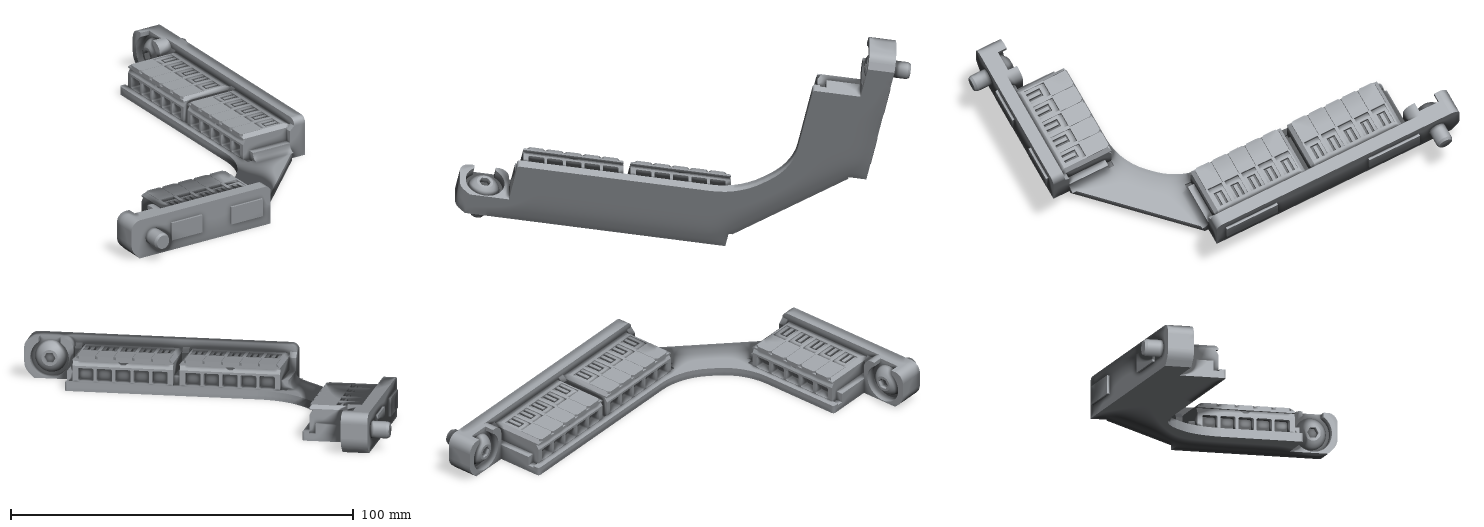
import cadquery as cq
import math


LONG_SIDE = 115.62
SHORT_SIDE = 83.36
HEIGHT = 12.2
LONG_BAYS = 2
SHORT_BAYS = 1
PLATE_THICK = 2.6
ARM_DEPTH = 22.0
INNER_RADIUS = 20.0
INNER_FLAT = 1.7
PLATE_CORNER_RADIUS = 0.8
DIAGONAL_SUM = 76.1

WALL_THICK = 3.8
WALL_END_RADIUS = 2.0
BOSS_LENGTH = 14.55
BOSS_DEPTH = 7.9
BOSS_TOP_RADIUS = 3.0
BOSS_CHAMFER = 2.9
BOSS_BLEND_RADIUS = 4.4

SCREW_X = 7.5
SCREW_Z = 6.1
SCREW_TIP_REACH = 5.37
SHANK_DIA = 5.0
TIP_LENGTH = 0.8
TIP_INSET = 0.4
HEAD_DIA = 9.5
HEAD_HEIGHT = 2.75
HEAD_FLAT_DIA = 4.8
HEX_FLATS = 3.0
HEX_DEPTH = 1.8
CLEARANCE_DIA = 5.25
SEAT_DIA = 11.5
SEAT_FLOOR = 5.0
SEAT_SLOT_WIDTH = 6.4

CELLS = 5
CELL_PITCH = 5.5
BLOCK_LENGTH = 29.75
BLOCK_TOP = 10.2
BLOCK_FRONT = 20.25
END_CHAMFER_X = 1.1
END_CHAMFER_Z = 1.05
BACK_SLOPE_DEPTH = 1.45
BACK_SLOPE_DROP = 0.5
BROW_Z = 8.75
BROW_INSET = 0.9
SLOPE_Z = 7.25
ENTRY_WIDTH = 4.65
ENTRY_BOTTOM = 2.75
ENTRY_TOP = 6.6
ENTRY_DEPTH = 3.0
ENTRY_RADIUS = 0.5
SLIDER_BACK = 6.3
SLIDER_FRONT = 11.4
SLIDER_WIDTH = 4.5
SLIDER_DROP = 0.3
POCKET_WIDTH = 2.6
POCKET_FRONT = 10.8
POCKET_DEPTH = 1.2
FINGER_WIDTH = 1.05
FINGER_GAP = 0.45
TRENCH_FRONT = 12.7
TRENCH_DEPTH = 0.9
BUTTON_GAP = 0.1
BUTTON_GAP_DEPTH = 0.8
BUTTON_CORNER = 0.7
MARK_WIDTH = 3.7
MARK_TIP_WIDTH = 1.2
MARK_HEIGHT = 0.9
MARK_DEPTH = 0.4

RAIL_WIDTH = 2.05
RAIL_TOP = 5.0
RAIL_FRONT = 18.1
RAIL_FILLET = 2.0
RAIL_POCKET_FRONT = 20.0
RAIL_POCKET_FLOOR = 2.05
RIDGE_DEPTH = 1.45
RIDGE_TOP = 10.2
BAY_PITCH = BLOCK_LENGTH + RAIL_WIDTH

PAD_THICK = 0.75
PAD_BOTTOM = 3.4
PAD_TOP = 8.9
LONG_ARM_PADS = [(13.5, 30.2), (60.4, 77.2)]
SHORT_ARM_PADS = [(13.6, 24.2), (34.3, 45.2)]

OVERCUT = 1.0


def span_box(x0, x1, y0, y1, z0, z1):
    size = (x1 - x0, y1 - y0, z1 - z0)
    return cq.Workplane("XY").box(*size, centered=False).translate((x0, y0, z0))


def side_profile(points, x0, length):
    """Outline given as (distance in front of the back face, z), run along X."""
    flat = [(-depth, z) for depth, z in points]
    return cq.Workplane("YZ").polyline(flat).close().extrude(length).translate((x0, 0, 0))


def to_short_arm(body):
    """Place a body built in the arm frame on the short arm."""
    return body.mirror(cq.Vector(1, -1, 0)).translate((LONG_SIDE, -SHORT_SIDE, 0))


def arm_end(bays):
    return BOSS_LENGTH + RAIL_WIDTH + bays * BAY_PITCH


def back_wall(bays):
    wall = span_box(BOSS_LENGTH / 2, arm_end(bays), -WALL_THICK, 0, 0, HEIGHT)
    return wall.edges("|Y and >X and >Z").fillet(WALL_END_RADIUS)


def screw_boss():
    blend_45 = BOSS_BLEND_RADIUS * math.sin(math.pi / 4)
    blend_in = BOSS_BLEND_RADIUS - blend_45
    blend_low = BOSS_CHAMFER - blend_in
    blend_high = blend_low + blend_45
    mid_in = BOSS_BLEND_RADIUS * (1 - math.cos(math.pi / 8))
    mid_z = blend_high - BOSS_BLEND_RADIUS * math.sin(math.pi / 8)
    boss = (
        cq.Workplane("XZ")
        .moveTo(BOSS_CHAMFER, 0)
        .lineTo(BOSS_LENGTH, 0)
        .lineTo(BOSS_LENGTH, HEIGHT)
        .lineTo(0, HEIGHT)
        .lineTo(0, blend_high)
        .threePointArc((mid_in, mid_z), (blend_in, blend_low))
        .close()
        .extrude(BOSS_DEPTH)
    )
    return boss.edges("|Y and >Z").fillet(BOSS_TOP_RADIUS)


def screw_seat():
    axis_start = cq.Workplane("XZ").center(SCREW_X, SCREW_Z)
    hole = axis_start.circle(CLEARANCE_DIA / 2).extrude(BOSS_DEPTH)
    seat = (
        axis_start.workplane(offset=SEAT_FLOOR)
        .circle(SEAT_DIA / 2)
        .extrude(BOSS_DEPTH - SEAT_FLOOR + OVERCUT)
    )
    slot = span_box(
        SCREW_X - SEAT_SLOT_WIDTH / 2, SCREW_X + SEAT_SLOT_WIDTH / 2,
        -BOSS_DEPTH - OVERCUT, -SEAT_FLOOR, SCREW_Z, HEIGHT + OVERCUT,
    )
    return hole.union(seat).union(slot)


def rail(x0):
    """Low rail with the sloped ridge that rises above it on the wall."""
    ridge_front = WALL_THICK + RIDGE_DEPTH
    outline = [
        (WALL_THICK, 0),
        (RAIL_FRONT, 0),
        (RAIL_FRONT, RAIL_TOP),
        (ridge_front, RAIL_TOP),
        (ridge_front, RIDGE_TOP - RIDGE_DEPTH),
        (WALL_THICK, RIDGE_TOP),
    ]
    return side_profile(outline, x0, RAIL_WIDTH)


def end_rail_fillet(bays):
    end = arm_end(bays)
    top = PLATE_THICK + RAIL_FILLET
    reach = end + RAIL_FILLET
    bow = RAIL_FILLET * (1 - math.sin(math.pi / 4))
    return (
        cq.Workplane("XZ", origin=(0, -WALL_THICK - RIDGE_DEPTH, 0))
        .moveTo(end, PLATE_THICK)
        .lineTo(end, top)
        .threePointArc((end + bow, PLATE_THICK + bow), (reach, PLATE_THICK))
        .close()
        .extrude(RAIL_FRONT - WALL_THICK - RIDGE_DEPTH)
    )


def back_pad(x0, x1):
    return span_box(x0, x1, 0, PAD_THICK, PAD_BOTTOM, PAD_TOP)


def arm(bays, pads):
    body = back_wall(bays).union(screw_boss())
    for number in range(bays + 1):
        body = body.union(rail(BOSS_LENGTH + number * BAY_PITCH))
    body = body.union(end_rail_fillet(bays))
    for x0, x1 in pads:
        body = body.union(back_pad(x0, x1))
    return body.cut(screw_seat())


def rail_pockets(bays):
    pockets = cq.Workplane("XY")
    for number in range(bays + 1):
        x0 = BOSS_LENGTH + number * BAY_PITCH
        pockets = pockets.union(span_box(
            x0, x0 + RAIL_WIDTH, -RAIL_POCKET_FRONT, -RAIL_FRONT, RAIL_POCKET_FLOOR, PLATE_THICK,
        ))
    return pockets


def plate():
    """Floor of both arms and the web across the corner between them."""
    ridge_front = WALL_THICK + RIDGE_DEPTH
    long_end = arm_end(LONG_BAYS)
    short_end = arm_end(SHORT_BAYS) - SHORT_SIDE
    short_start = BOSS_LENGTH - SHORT_SIDE
    inner_x = LONG_SIDE - ARM_DEPTH
    bend_end = ARM_DEPTH + INNER_RADIUS + INNER_FLAT
    mid_in = INNER_RADIUS * (1 - math.cos(math.pi / 8))
    mid_run = INNER_RADIUS * math.sin(math.pi / 8)
    far_in = INNER_RADIUS * (1 - math.cos(math.pi / 4))
    far_run = INNER_RADIUS * math.sin(math.pi / 4)
    slab = (
        cq.Workplane("XY")
        .moveTo(BOSS_LENGTH, -WALL_THICK)
        .lineTo(long_end, -WALL_THICK)
        .lineTo(long_end, -ridge_front)
        .lineTo(DIAGONAL_SUM + ridge_front, -ridge_front)
        .lineTo(LONG_SIDE - ridge_front, DIAGONAL_SUM - LONG_SIDE + ridge_front)
        .lineTo(LONG_SIDE - ridge_front, short_end)
        .lineTo(LONG_SIDE - WALL_THICK, short_end)
        .lineTo(LONG_SIDE - WALL_THICK, short_start)
        .lineTo(inner_x, short_start)
        .lineTo(inner_x, -bend_end)
        .threePointArc((inner_x - mid_in, -bend_end + mid_run), (inner_x - far_in, -bend_end + far_run))
        .lineTo(LONG_SIDE - bend_end + far_run, -ARM_DEPTH - far_in)
        .threePointArc(
            (LONG_SIDE - bend_end + mid_run, -ARM_DEPTH - mid_in),
            (LONG_SIDE - bend_end, -ARM_DEPTH),
        )
        .lineTo(BOSS_LENGTH, -ARM_DEPTH)
        .close()
        .extrude(PLATE_THICK)
    )
    free_corners = [(BOSS_LENGTH, -ARM_DEPTH), (inner_x, short_start)]
    for x, y in free_corners:
        corner = cq.selectors.NearestToPointSelector((x, y, PLATE_THICK / 2))
        slab = slab.edges(corner).fillet(PLATE_CORNER_RADIUS)
    return slab


def build_housing():
    body = plate().union(arm(LONG_BAYS, LONG_ARM_PADS))
    body = body.union(to_short_arm(arm(SHORT_BAYS, SHORT_ARM_PADS)))
    body = body.cut(rail_pockets(LONG_BAYS))
    return body.cut(to_short_arm(rail_pockets(SHORT_BAYS)))


def block_blank():
    """Side profile trimmed by the outline with chamfered ends."""
    outline = [
        (WALL_THICK, PLATE_THICK),
        (BLOCK_FRONT, PLATE_THICK),
        (BLOCK_FRONT, SLOPE_Z),
        (BLOCK_FRONT - BROW_INSET, BROW_Z),
        (BLOCK_FRONT, BROW_Z),
        (BLOCK_FRONT, BLOCK_TOP),
        (WALL_THICK + BACK_SLOPE_DEPTH, BLOCK_TOP),
        (WALL_THICK, BLOCK_TOP - BACK_SLOPE_DROP),
    ]
    shoulder = BLOCK_TOP - END_CHAMFER_Z
    ends = (
        cq.Workplane("XZ")
        .polyline([
            (0, PLATE_THICK),
            (BLOCK_LENGTH, PLATE_THICK),
            (BLOCK_LENGTH, shoulder),
            (BLOCK_LENGTH - END_CHAMFER_X, BLOCK_TOP),
            (END_CHAMFER_X, BLOCK_TOP),
            (0, shoulder),
        ])
        .close()
        .extrude(BLOCK_FRONT)
    )
    return side_profile(outline, 0, BLOCK_LENGTH).intersect(ends)


def wire_entry(x):
    half = ENTRY_WIDTH / 2
    entry = span_box(
        x - half, x + half, -BLOCK_FRONT - OVERCUT, -BLOCK_FRONT + ENTRY_DEPTH, ENTRY_BOTTOM, ENTRY_TOP,
    )
    return entry.edges("|Y").fillet(ENTRY_RADIUS)


def slider_recess(x):
    """Recessed panel behind a button, with a pocket and a finger standing in it."""
    top = BLOCK_TOP + OVERCUT
    panel_z = BLOCK_TOP - SLIDER_DROP
    half_panel = SLIDER_WIDTH / 2
    half_pocket = POCKET_WIDTH / 2
    half_finger = FINGER_WIDTH / 2
    floor = BLOCK_TOP - POCKET_DEPTH
    panel = span_box(x - half_panel, x + half_panel, -SLIDER_FRONT, -SLIDER_BACK, panel_z, top)
    pocket = span_box(x - half_pocket, x + half_pocket, -POCKET_FRONT, -SLIDER_BACK, floor, top)
    finger = span_box(
        x - half_finger, x + half_finger, -POCKET_FRONT + FINGER_GAP, -SLIDER_BACK, floor, panel_z,
    )
    return panel.union(pocket).cut(finger)


def button_trench(x):
    """Trench behind a button: it slopes down from the slider to the button's back face."""
    top = BLOCK_TOP + OVERCUT
    outline = [
        (SLIDER_FRONT, BLOCK_TOP - SLIDER_DROP),
        (TRENCH_FRONT, BLOCK_TOP - TRENCH_DEPTH),
        (TRENCH_FRONT, top),
        (SLIDER_FRONT, top),
    ]
    return side_profile(outline, x - SLIDER_WIDTH / 2, SLIDER_WIDTH)


def button_gap(x):
    """Narrow cut beside a button that flares out at the front."""
    half = BUTTON_GAP / 2
    flare = half + BUTTON_CORNER
    return (
        cq.Workplane("XY", origin=(x, 0, BLOCK_TOP - BUTTON_GAP_DEPTH))
        .polyline([
            (-half, -TRENCH_FRONT),
            (half, -TRENCH_FRONT),
            (half, -BLOCK_FRONT + BUTTON_CORNER),
            (flare, -BLOCK_FRONT),
            (-flare, -BLOCK_FRONT),
            (-half, -BLOCK_FRONT + BUTTON_CORNER),
        ])
        .close()
        .extrude(BUTTON_GAP_DEPTH + OVERCUT)
    )


def centre_mark():
    """Small tapered notch in the sloped face, under the middle button."""
    back = BLOCK_FRONT - BROW_INSET - MARK_DEPTH
    return (
        cq.Workplane("XZ", origin=(BLOCK_LENGTH / 2, -back, 0))
        .polyline([
            (-MARK_WIDTH / 2, BROW_Z),
            (MARK_WIDTH / 2, BROW_Z),
            (MARK_TIP_WIDTH / 2, BROW_Z - MARK_HEIGHT),
            (-MARK_TIP_WIDTH / 2, BROW_Z - MARK_HEIGHT),
        ])
        .close()
        .extrude(BROW_INSET + MARK_DEPTH)
    )


def build_block():
    body = block_blank().cut(centre_mark())
    first_cell = BLOCK_LENGTH / 2 - (CELLS - 1) * CELL_PITCH / 2
    for cell in range(CELLS):
        x = first_cell + cell * CELL_PITCH
        body = body.cut(wire_entry(x)).cut(slider_recess(x)).cut(button_trench(x))
    for edge in range(CELLS + 1):
        body = body.cut(button_gap(first_cell + (edge - 0.5) * CELL_PITCH))
    return body


def block_in_bay(number):
    return build_block().translate((BOSS_LENGTH + RAIL_WIDTH + number * BAY_PITCH, 0, 0))


def build_screw():
    head_radius = HEAD_DIA / 2
    flat_radius = HEAD_FLAT_DIA / 2
    dome_centre = (flat_radius**2 + HEAD_HEIGHT**2 - head_radius**2) / (2 * HEAD_HEIGHT)
    dome_radius = math.hypot(head_radius, dome_centre)
    dome_mid_radius = (head_radius + flat_radius) / 2
    dome_mid = dome_centre + math.sqrt(dome_radius**2 - dome_mid_radius**2)
    shank_radius = SHANK_DIA / 2
    head_top = -SEAT_FLOOR - HEAD_HEIGHT
    screw = (
        cq.Workplane("XY")
        .moveTo(0, head_top)
        .lineTo(flat_radius, head_top)
        .threePointArc((dome_mid_radius, -SEAT_FLOOR - dome_mid), (head_radius, -SEAT_FLOOR))
        .lineTo(shank_radius, -SEAT_FLOOR)
        .lineTo(shank_radius, SCREW_TIP_REACH - TIP_LENGTH)
        .lineTo(shank_radius - TIP_INSET, SCREW_TIP_REACH)
        .lineTo(0, SCREW_TIP_REACH)
        .close()
        .revolve(360, (0, 0, 0), (0, 1, 0))
    )
    hex_corners = HEX_FLATS / math.cos(math.pi / 6)
    socket_floor = cq.Workplane("XZ", origin=(0, head_top + HEX_DEPTH, 0))
    socket = socket_floor.polygon(6, hex_corners).extrude(HEX_DEPTH)
    return screw.cut(socket).translate((SCREW_X, 0, SCREW_Z))


housing = build_housing()
blocks = [block_in_bay(number) for number in range(LONG_BAYS)]
blocks += [to_short_arm(block_in_bay(number)) for number in range(SHORT_BAYS)]
screws = [build_screw(), to_short_arm(build_screw())]

result = cq.Compound.makeCompound([
    housing.val(),
    *[block.val() for block in blocks],
    *[screw.val() for screw in screws],
])